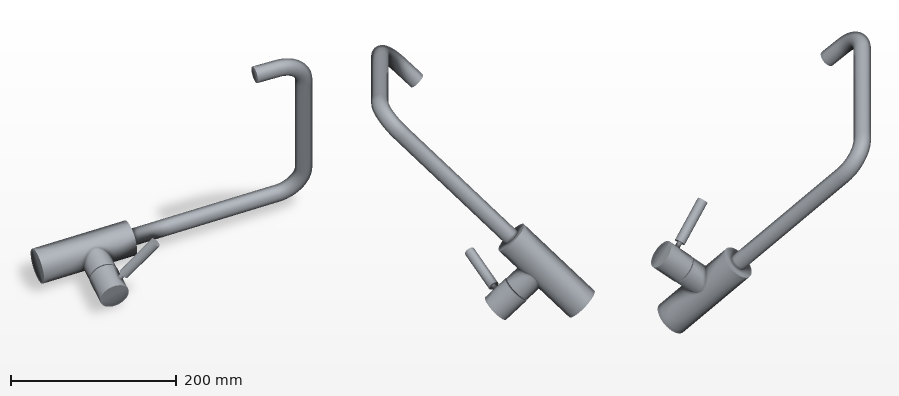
import cadquery as cq
import math

housing_radius = 22.0
housing_length = 116.2
ring_thickness = 4.5
ring_end_y = housing_length + ring_thickness

spout_reach = 356.5
spout_radius = 10.5
bend_radius = 35.0
upper_bend_z = 199.0
tip_length = 30.0
tip_rise = math.radians(2)

arm_y = 69.0
arm_radius = 18.0
arm_end_x = 41.5
knob_radius = 18.5
knob_gap = 2.0
knob_start_x = arm_end_x + knob_gap
knob_end_x = 78.0

lever_x = 63.8
lever_angle = math.radians(45)
grip_radius = 6.6
grip_start = 25.0
grip_length = 58.5
neck_radius = 3.2


def y_cylinder(radius, start_y, length):
    return cq.Workplane("XZ", origin=(0, start_y, 0)).circle(radius).extrude(-length)


def side_cylinder(radius, start_x, end_x):
    """Cylinder along +X on the axis shared by the arm and the knob."""
    return cq.Workplane("YZ", origin=(start_x, arm_y, 0)).circle(radius).extrude(end_x - start_x)


def make_spout():
    riser_y = spout_reach - spout_radius
    bend_center_y = riser_y - bend_radius

    def on_bend(angle, center_z):
        """Point of a bend centre line, at an angle up from +Y."""
        return (
            bend_center_y + bend_radius * math.cos(angle),
            center_z + bend_radius * math.sin(angle),
        )

    upper_sweep = math.pi / 2 - tip_rise
    bend_end = on_bend(upper_sweep, upper_bend_z)
    tip = (
        bend_end[0] - tip_length * math.cos(tip_rise),
        bend_end[1] + tip_length * math.sin(tip_rise),
    )
    path = (
        cq.Workplane("YZ")
        .moveTo(ring_end_y, 0)
        .lineTo(bend_center_y, 0)
        .threePointArc(on_bend(-math.pi / 4, bend_radius), (riser_y, bend_radius))
        .lineTo(riser_y, upper_bend_z)
        .threePointArc(on_bend(upper_sweep / 2, upper_bend_z), bend_end)
        .lineTo(*tip)
    )
    return cq.Workplane("XZ", origin=(0, ring_end_y, 0)).circle(spout_radius).sweep(path)


def make_lever():
    direction = (0, math.cos(lever_angle), math.sin(lever_angle))
    axis_plane = cq.Plane(origin=(lever_x, arm_y, 0), xDir=(1, 0, 0), normal=direction)
    neck = cq.Workplane(axis_plane).circle(neck_radius).extrude(grip_start)
    grip = cq.Workplane(axis_plane).workplane(offset=grip_start).circle(grip_radius).extrude(grip_length)
    return neck.union(grip)


housing = y_cylinder(housing_radius, 0, housing_length)
end_ring = y_cylinder(housing_radius, housing_length, ring_thickness)
spout = make_spout()

arm = side_cylinder(arm_radius, 0, arm_end_x).cut(housing).solids()
knob = side_cylinder(knob_radius, knob_start_x, knob_end_x)
lever = make_lever().cut(knob).solids()

result = cq.Compound.makeCompound(
    [housing.val(), end_ring.val(), spout.val(), arm.val(), knob.val(), lever.val()]
)